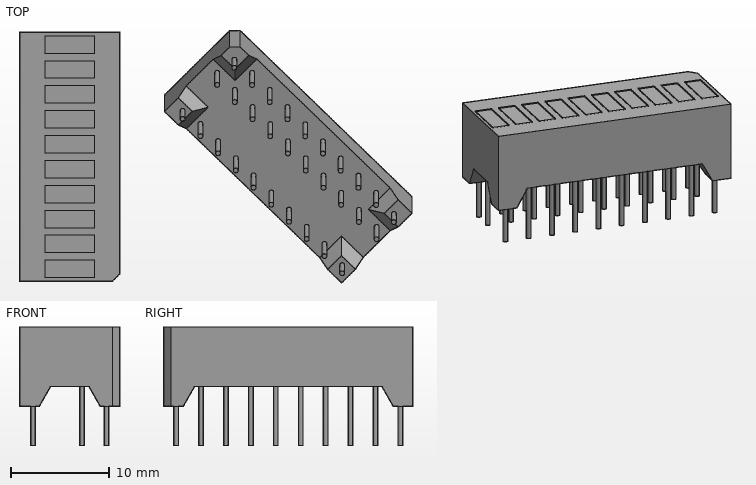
import cadquery as cq

body_length = 25.4
body_width = 10.2
body_height = 8.1
corner_chamfer = 0.75

foot_size = 2.0
notch_height = 2.0
notch_slope_run = 1.15

segment_count = 10
row_pitch = 2.55
window_width = 5.03
window_length = 1.78
window_depth = 0.1

pin_radius = 0.25
pin_reach = 4.0
pin_embed = 0.25
column_span = 7.5
outer_column = column_span / 2
column_pitch = column_span / 3
pin_columns = (-outer_column, outer_column - column_pitch, outer_column)

row_offsets = [(i - (segment_count - 1) / 2) * row_pitch for i in range(segment_count)]


def notch(plane, span, through):
    """Trapezoidal channel across the underside, narrowing upwards."""
    half_bottom = span / 2 - foot_size
    half_top = half_bottom - notch_slope_run
    outline = [
        (-half_bottom, 0),
        (half_bottom, 0),
        (half_top, notch_height),
        (-half_top, notch_height),
    ]
    return cq.Workplane(plane).polyline(outline).close().extrude(through / 2, both=True)


def body():
    """Block with one chamfered corner and crossing notches underneath."""
    block = cq.Workplane("XY").box(body_width, body_length, body_height, centered=(True, True, False))
    block = block.edges("|Z and >X and <Y").chamfer(corner_chamfer)
    block = block.cut(notch("XZ", body_width, body_length))
    return block.cut(notch("YZ", body_length, body_width))


def windows():
    """Shallow rectangular recesses to cut from the top face."""
    centers = [(0, y) for y in row_offsets]
    floor = cq.Workplane("XY", origin=(0, 0, body_height - window_depth))
    return floor.pushPoints(centers).rect(window_width, window_length).extrude(window_depth)


def pins():
    """Round pins running from their tips up into the body."""
    centers = [(x, y) for x in pin_columns for y in row_offsets]
    tips = cq.Workplane("XY", origin=(0, 0, -pin_reach))
    return tips.pushPoints(centers).circle(pin_radius).extrude(pin_reach + notch_height + pin_embed)


result = body().cut(windows()).union(pins())